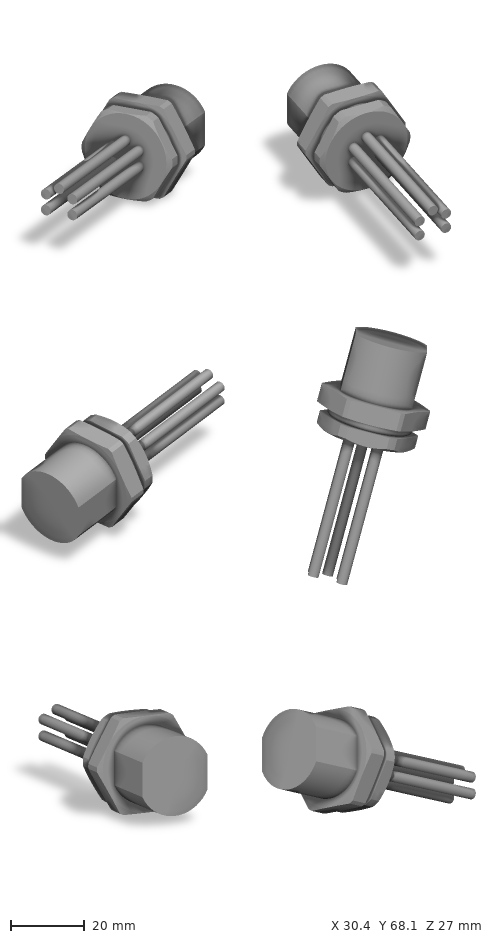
import cadquery as cq
import math

total_length = 68.1
wire_length = 40.05
nut_length = 4.1
flange_front = 6.3
flange_back = 11.85
barrel_back = total_length - wire_length

nut_across_flats = 25.0
nut_corner_radius = 13.75
nut_face_radius = 12.4
nut_chamfer_length = 0.9

flange_across_flats = 27.0
flange_corner_radius = 15.2
flange_face_radius = 13.5
flange_chamfer_length = 0.3

barrel_radius = 11.1
barrel_width = 20.0

ring_outer_radius = 11.9
ring_section_radius = (flange_front - nut_length) / 2
ring_center_radius = ring_outer_radius - ring_section_radius
neck_radius = ring_outer_radius - 2 * ring_section_radius

wire_radius = 1.5
wire_circle_radius = 4.6
wire_angles = [30, 90, 150, 210, 330]


def cross_section(y_position):
    """Workplane across the Y axis at y_position; extruding goes toward +Y, local X is -X."""
    return cq.Workplane("XZ", origin=(0, y_position, 0)).transformed(rotate=(0, 180, 0))


def hexagon(y_start, length, across_flats, corner_radius, face_radius, front_chamfer, back_chamfer):
    """Hexagonal prism with flats at top and bottom, trimmed by a turned and chamfered profile."""
    across_corners = across_flats / math.cos(math.radians(30))
    prism = cross_section(y_start).polygon(6, across_corners).extrude(length)
    y_end = y_start + length
    profile = [(0, y_start), (face_radius, y_start), (corner_radius, y_start + front_chamfer)]
    if back_chamfer > 0:
        profile += [(corner_radius, y_end - back_chamfer), (face_radius, y_end)]
    else:
        profile += [(corner_radius, y_end)]
    profile += [(0, y_end)]
    turned = cq.Workplane("XY").polyline(profile).close().revolve(360, (0, 0, 0), (0, 1, 0))
    return prism.intersect(turned)


def make_nut():
    return hexagon(0, nut_length, nut_across_flats, nut_corner_radius,
                   nut_face_radius, nut_chamfer_length, 0)


def make_flange():
    return hexagon(flange_front, flange_back - flange_front, flange_across_flats, flange_corner_radius,
                   flange_face_radius, flange_chamfer_length, flange_chamfer_length)


def make_neck():
    return cross_section(nut_length).circle(neck_radius).extrude(flange_front - nut_length)


def make_barrel():
    barrel_length = barrel_back - flange_back
    cylinder = cross_section(flange_back).circle(barrel_radius).extrude(barrel_length)
    flats = cross_section(flange_back).rect(barrel_width, 2 * barrel_radius).extrude(barrel_length)
    return cylinder.intersect(flats)


def make_wire(angle):
    x = wire_circle_radius * math.cos(math.radians(angle))
    z = wire_circle_radius * math.sin(math.radians(angle))
    return cq.Workplane("XZ").center(x, z).circle(wire_radius).extrude(wire_length)


def make_connector():
    """Nut, neck, flange, barrel and wires as one solid."""
    connector = make_nut().union(make_neck()).union(make_flange()).union(make_barrel())
    for angle in wire_angles:
        connector = connector.union(make_wire(angle))
    return connector


def make_sealing_ring():
    section_y = (nut_length + flange_front) / 2
    section = cq.Workplane("XY").center(ring_center_radius, section_y).circle(ring_section_radius)
    return section.revolve(360, (-ring_center_radius, 0, 0), (-ring_center_radius, 1, 0))


connector = make_connector()
sealing_ring = make_sealing_ring()

result = cq.Compound.makeCompound([connector.solids().val(), sealing_ring.val()])